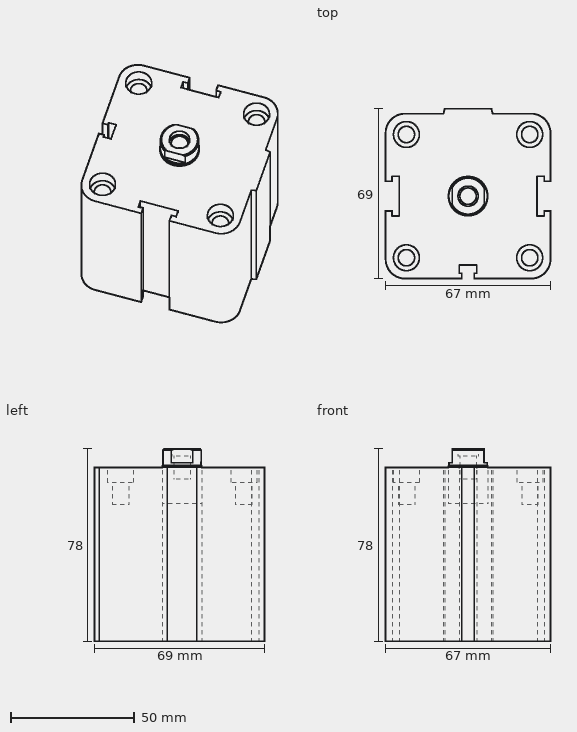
import cadquery as cq


housing_width = 67.0
housing_height = 70.5
corner_radius = 8.0

tongue_height = 2.0
tongue_root_width = 20.0
tongue_tip_width = 19.0

slot_depth = 5.5
wide_slot_mouth = 12.0
wide_slot_cavity = 16.0
wide_slot_lip = 2.7
narrow_slot_mouth = 5.0
narrow_slot_cavity = 7.0
narrow_slot_lip = 2.3

mount_spacing = 50.0
mount_bore_dia = 10.5
mount_bore_depth = 6.0
thread_dia = 6.65
mount_thread_depth = 15.0

rod_dia = 16.0
rod_tip_dia = 15.6
rod_seat_depth = 14.5
rod_protrusion = 7.5
rod_shoulder_height = 0.6
rod_taper_length = 0.35
rod_tip_chamfer = 0.5
flat_width = 13.0
flat_length = 5.5
rod_bore_dia = 8.2
rod_bore_depth = 2.8
rod_thread_depth = 12.0

half_width = housing_width / 2
rod_seat_z = housing_height - rod_seat_depth
rod_top_z = housing_height + rod_protrusion


def blind_hole(diameter, depth, top_z, x=0, y=0):
    """Cylinder to cut downwards from top_z."""
    return cq.Workplane("XY", origin=(x, y, top_z)).circle(diameter / 2).extrude(-depth)


def t_slot(mouth, cavity, lip, angle):
    """Full-height T-slot cutter for the +X face, turned about Z by angle."""
    cutter = (
        cq.Workplane("XY")
        .moveTo(half_width, mouth / 2)
        .lineTo(half_width - lip, mouth / 2)
        .lineTo(half_width - lip, cavity / 2)
        .lineTo(half_width - slot_depth, cavity / 2)
        .lineTo(half_width - slot_depth, -cavity / 2)
        .lineTo(half_width - lip, -cavity / 2)
        .lineTo(half_width - lip, -mouth / 2)
        .lineTo(half_width, -mouth / 2)
        .close()
        .extrude(housing_height)
    )
    return cutter.rotate((0, 0, 0), (0, 0, 1), angle)


def tongue():
    return (
        cq.Workplane("XY")
        .polyline([
            (-tongue_root_width / 2, half_width),
            (-tongue_tip_width / 2, half_width + tongue_height),
            (tongue_tip_width / 2, half_width + tongue_height),
            (tongue_root_width / 2, half_width),
        ])
        .close()
        .extrude(housing_height)
    )


def make_housing():
    body = (
        cq.Workplane("XY")
        .rect(housing_width, housing_width)
        .extrude(housing_height)
        .edges("|Z")
        .fillet(corner_radius)
        .union(tongue())
    )
    for angle in (0, 180):
        body = body.cut(t_slot(wide_slot_mouth, wide_slot_cavity, wide_slot_lip, angle))
    body = body.cut(t_slot(narrow_slot_mouth, narrow_slot_cavity, narrow_slot_lip, -90))
    for x in (-mount_spacing / 2, mount_spacing / 2):
        for y in (-mount_spacing / 2, mount_spacing / 2):
            body = body.cut(blind_hole(mount_bore_dia, mount_bore_depth, housing_height, x, y))
            body = body.cut(blind_hole(thread_dia, mount_thread_depth, housing_height, x, y))
    return body.cut(blind_hole(rod_dia, rod_seat_depth, housing_height))


def make_rod():
    shoulder_z = housing_height + rod_shoulder_height
    rod_radius = rod_dia / 2
    tip_radius = rod_tip_dia / 2
    body = (
        cq.Workplane("XZ")
        .polyline([
            (0, rod_seat_z),
            (rod_radius, rod_seat_z),
            (rod_radius, shoulder_z),
            (tip_radius, shoulder_z + rod_taper_length),
            (tip_radius, rod_top_z - rod_tip_chamfer),
            (tip_radius - rod_tip_chamfer, rod_top_z),
            (0, rod_top_z),
        ])
        .close()
        .revolve(360, (0, 0), (0, 1))
    )
    flat_cut_depth = (rod_dia - flat_width) / 2
    flat_centre_x = (flat_width + flat_cut_depth) / 2
    for x in (-flat_centre_x, flat_centre_x):
        flat_cut = (
            cq.Workplane("XY", origin=(x, 0, rod_top_z))
            .rect(flat_cut_depth, rod_dia)
            .extrude(-flat_length)
        )
        body = body.cut(flat_cut)
    body = body.cut(blind_hole(rod_bore_dia, rod_bore_depth, rod_top_z))
    return body.cut(blind_hole(thread_dia, rod_thread_depth, rod_top_z))


housing = make_housing()
rod = make_rod()
result = cq.Compound.makeCompound([housing.val(), rod.val()])